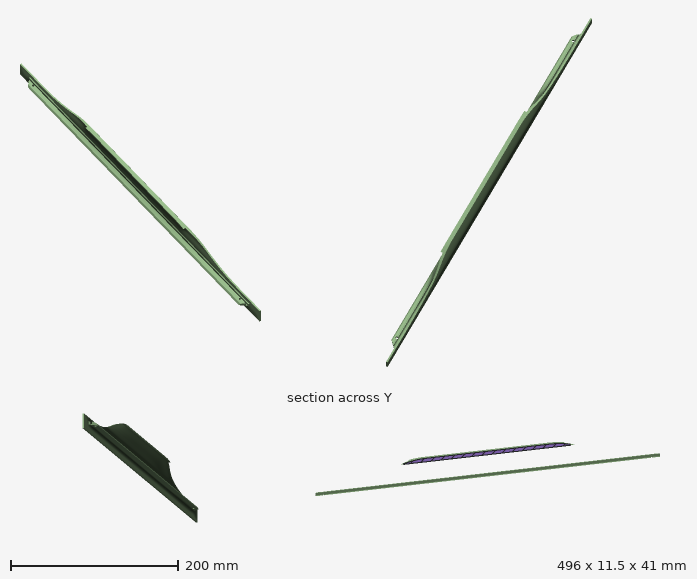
import cadquery as cq
import math

length = 496.0
height = 41.0
wall = 2.0

end_height = 18.0
crest_half_length = 83.0
concave_radius = 200.0
convex_radius = 100.0

bend_start_z = 24.4
outer_bend_radius = 30.5
inner_bend_radius = 23.0
lip_reach = 10.0
lip_thickness = 1.75

ledge_reach = 11.49
ledge_half_length = 228.0
ledge_bottom_z = 9.0
ledge_top_z = 13.0
ledge_slope_start = 7.2
ledge_slope_end = 10.0
ledge_slope_angle = 27.0

groove_near = 3.6
groove_far = 5.2
groove_floor_z = 10.0
drain_diameter = 3.0
drain_x = 214.0
drain_reach = 6.5


def extrude_along_x(profile, half_length):
    """Extrude a profile, drawn in the YZ plane, equally to both sides of X = 0."""
    return profile.extrude(half_length, both=True)


def bend_point(start_y, radius, angle):
    """Point (Y, Z) on an arc that leaves the wall upward at start_y and turns toward -Y by the angle."""
    return (start_y - radius * (1 - math.cos(angle)), bend_start_z + radius * math.sin(angle))


def curved_wall():
    """Flat wall, bend and lip as one constant section over the full length."""
    lip_bottom_z = height - lip_thickness
    outer_angle = math.asin((height - bend_start_z) / outer_bend_radius)
    inner_angle = math.asin((lip_bottom_z - bend_start_z) / inner_bend_radius)
    outer_middle = bend_point(0, outer_bend_radius, outer_angle / 2)
    outer_end = bend_point(0, outer_bend_radius, outer_angle)
    inner_middle = bend_point(-wall, inner_bend_radius, inner_angle / 2)
    inner_end = bend_point(-wall, inner_bend_radius, inner_angle)
    profile = (
        cq.Workplane("YZ")
        .moveTo(0, 0)
        .lineTo(0, bend_start_z)
        .threePointArc(outer_middle, outer_end)
        .lineTo(-lip_reach, height)
        .lineTo(-lip_reach, lip_bottom_z)
        .lineTo(*inner_end)
        .threePointArc(inner_middle, (-wall, bend_start_z))
        .lineTo(-wall, 0)
        .close()
    )
    return extrude_along_x(profile, length / 2)


def front_outline():
    """Prism of the front outline, deep enough to span the lip."""
    rise = height - end_height
    turn = math.acos(1 - rise / (concave_radius + convex_radius))
    rise_start_x = crest_half_length + (concave_radius + convex_radius) * math.sin(turn)

    def concave(angle):
        return (
            rise_start_x - concave_radius * math.sin(angle),
            end_height + concave_radius * (1 - math.cos(angle)),
        )

    def convex(angle):
        return (
            crest_half_length + convex_radius * math.sin(angle),
            height - convex_radius * (1 - math.cos(angle)),
        )

    def mirrored(point):
        return (-point[0], point[1])

    return (
        cq.Workplane("XZ")
        .moveTo(-length / 2, 0)
        .lineTo(-length / 2, end_height)
        .lineTo(-rise_start_x, end_height)
        .threePointArc(mirrored(concave(turn / 2)), mirrored(concave(turn)))
        .threePointArc(mirrored(convex(turn / 2)), mirrored(convex(0)))
        .lineTo(crest_half_length, height)
        .threePointArc(convex(turn / 2), convex(turn))
        .threePointArc(concave(turn / 2), concave(0))
        .lineTo(length / 2, end_height)
        .lineTo(length / 2, 0)
        .close()
        .extrude(lip_reach)
    )


def ledge():
    """Grooved ledge with a sloping top, a steeper nose and ends cut at 45 degrees."""
    slope_drop = (ledge_slope_end - ledge_slope_start) * math.tan(math.radians(ledge_slope_angle))
    slope_end_z = ledge_top_z - slope_drop
    section = (
        cq.Workplane("YZ")
        .moveTo(-wall, ledge_bottom_z)
        .lineTo(-wall, ledge_top_z)
        .lineTo(-groove_near, ledge_top_z)
        .lineTo(-groove_near, groove_floor_z)
        .lineTo(-groove_far, groove_floor_z)
        .lineTo(-groove_far, ledge_top_z)
        .lineTo(-ledge_slope_start, ledge_top_z)
        .lineTo(-ledge_slope_end, slope_end_z)
        .lineTo(-ledge_reach, ledge_bottom_z)
        .close()
    )
    nose_half_length = ledge_half_length - ledge_reach + wall
    plan = (
        cq.Workplane("XY")
        .polyline(
            [
                (-ledge_half_length, -wall),
                (-nose_half_length, -ledge_reach),
                (nose_half_length, -ledge_reach),
                (ledge_half_length, -wall),
            ]
        )
        .close()
        .extrude(height)
    )
    return extrude_along_x(section, ledge_half_length).intersect(plan)


def drain_holes():
    """Cutters for the holes through the ledge, one near each end."""
    return (
        cq.Workplane("XY")
        .pushPoints([(-drain_x, -drain_reach), (drain_x, -drain_reach)])
        .circle(drain_diameter / 2)
        .extrude(height)
    )


shaped_wall = curved_wall().intersect(front_outline())
result = shaped_wall.union(ledge().cut(drain_holes()))